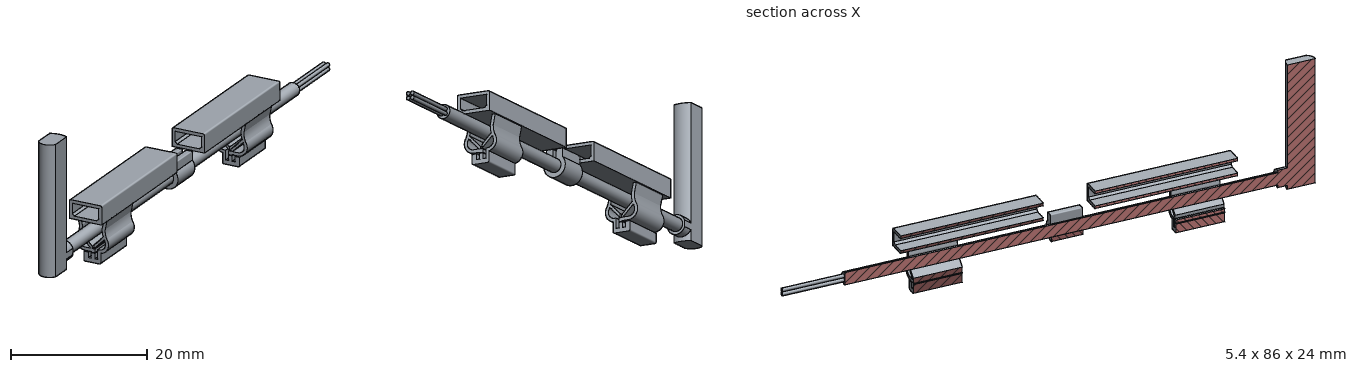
import cadquery as cq
import math


FRONT_Y = -43.0
BACK_END_Y = 43.0
HEAD_WIDTH = 2.8
HEAD_DEPTH = 4.6
HEAD_TOP_Z = 18.8
HEAD_BOTTOM_Z = -2.15
HEAD_NOSE_DEPTH = 0.9
HEAD_BACK_RISE = 0.35
COLLAR_DIAMETER = 3.0
COLLAR_LENGTH = 1.55
CABLE_DIAMETER = 2.15
WIRE_DIAMETER = 0.6
WIRE_PITCH = 0.7
WIRE_LENGTH = 10.0
WIRE_OVERLAP = 0.9

BAND_DIAMETER = 3.6
BAND_LENGTH = 5.2
BAND_CENTER_Y = -2.9
BAND_LUG_TOP_Z = 2.6
BAND_LUGS_WIDTH = 2.75
BAND_GAP = 0.5
BAND_LUG_ROUND = 0.2

CLIP_PLACES = ((12.5, 180), (-18.9, 0))
TUBE_WIDTH = 5.4
TUBE_TOP_Z = 5.1
TUBE_BOTTOM_Z = 2.1
TUBE_LENGTH = 23.05
CORNER_RADIUS = 0.3
BORE_CHAMFER = 0.35
WALL = 0.5
HOLDER_LENGTH = 7.9
HOLDER_INSET = 2.1
LEG_TOP_X = 2.5
NECK_X = 2.15
NECK_Z = 0.4
NECK_SAGITTA = 0.1
BULB_RADIUS = 1.55
BULB_CENTER_X = TUBE_WIDTH / 2 - BULB_RADIUS
BULB_CENTER_Z = -1.9
BULB_START_ANGLE = math.radians(146)
BULB_END_ANGLE = math.radians(270)
ARM_INNER_DISTANCE = 1.8
ARM_THICKNESS = 0.4
ARM_ROOT_X = 2.0
FREE_ARM_END_X = 0.3
FOOT_WIDTH = 2.8
FOOT_BOTTOM_Z = -5.2
FOOT_TOP_Z = -3.6
FOOT_FLOOR = 0.7
FOOT_HOOK_WALL = 0.8
RIB_LEFT_X = -0.2
RIB_WIDTH = 0.6
RIB_RIGHT_X = RIB_LEFT_X + RIB_WIDTH
STUB_LENGTH = 0.1


def section(y_start):
    """Workplane in X and Z at y_start; a negative extrusion length runs toward +Y."""
    return cq.Workplane("XZ", origin=(0, y_start, 0))


def block(x_min, x_max, y_min, y_max, z_min, z_max):
    size = (x_max - x_min, y_max - y_min, z_max - z_min)
    return cq.Workplane("XY").box(*size, centered=False).translate((x_min, y_min, z_min))


def rod(diameter, y_start, y_end, x=0.0, z=0.0):
    return section(y_start).center(x, z).circle(diameter / 2).extrude(y_start - y_end)


def make_sensor():
    half = HEAD_WIDTH / 2
    head_back_y = FRONT_Y + HEAD_DEPTH
    head_middle_y = FRONT_Y + HEAD_DEPTH / 2
    collar_end_y = head_back_y + COLLAR_LENGTH
    cable_end_y = BACK_END_Y - WIRE_LENGTH
    nose_y = FRONT_Y + HEAD_NOSE_DEPTH
    head = (
        cq.Workplane("XY", origin=(0, 0, HEAD_BOTTOM_Z))
        .moveTo(-half, nose_y)
        .threePointArc((0, FRONT_Y), (half, nose_y))
        .lineTo(half, head_back_y - HEAD_BACK_RISE)
        .threePointArc((0, head_back_y), (-half, head_back_y - HEAD_BACK_RISE))
        .close()
        .extrude(HEAD_TOP_Z - HEAD_BOTTOM_Z)
    )
    collar = rod(COLLAR_DIAMETER, head_middle_y, collar_end_y).intersect(
        block(-half, half, head_middle_y, collar_end_y, -COLLAR_DIAMETER, COLLAR_DIAMETER)
    )
    sensor = head.union(collar)
    sensor = sensor.union(rod(CABLE_DIAMETER, head_middle_y, cable_end_y))
    for x in (-WIRE_PITCH / 2, WIRE_PITCH / 2):
        for z in (-WIRE_PITCH / 2, WIRE_PITCH / 2):
            sensor = sensor.union(rod(WIRE_DIAMETER, cable_end_y - WIRE_OVERLAP, BACK_END_Y, x, z))
    return sensor


def make_band():
    y_min = BAND_CENTER_Y - BAND_LENGTH / 2
    y_max = y_min + BAND_LENGTH
    half_lugs = BAND_LUGS_WIDTH / 2
    half_gap = BAND_GAP / 2
    band = rod(BAND_DIAMETER, y_min, y_max)
    band = band.union(block(-half_lugs, half_lugs, y_min, y_max, 0, BAND_LUG_TOP_Z))
    band = band.cut(rod(CABLE_DIAMETER, y_min, y_max))
    band = band.cut(block(-half_gap, half_gap, y_min, y_max, 0, BAND_LUG_TOP_Z))
    return band.faces(">Z").edges("|Y").fillet(BAND_LUG_ROUND)


def bulb_point(radius, angle):
    return (-BULB_CENTER_X + radius * math.cos(angle), BULB_CENTER_Z + radius * math.sin(angle))


def side_wall(y_min, floor_end_x):
    """Leg, neck and bulb on the -X side, with the bulb floor running in to floor_end_x."""
    inner_radius = BULB_RADIUS - WALL
    middle_angle = (BULB_START_ANGLE + BULB_END_ANGLE) / 2
    return (
        section(y_min)
        .moveTo(-LEG_TOP_X, TUBE_BOTTOM_Z)
        .lineTo(-NECK_X, NECK_Z)
        .sagittaArc(bulb_point(BULB_RADIUS, BULB_START_ANGLE), NECK_SAGITTA)
        .threePointArc(bulb_point(BULB_RADIUS, middle_angle), bulb_point(BULB_RADIUS, BULB_END_ANGLE))
        .lineTo(floor_end_x, BULB_CENTER_Z - BULB_RADIUS)
        .lineTo(floor_end_x, BULB_CENTER_Z - inner_radius)
        .lineTo(*bulb_point(inner_radius, BULB_END_ANGLE))
        .threePointArc(bulb_point(inner_radius, middle_angle), bulb_point(inner_radius, BULB_START_ANGLE))
        .sagittaArc((-NECK_X + WALL, NECK_Z), -NECK_SAGITTA)
        .lineTo(-LEG_TOP_X + WALL, TUBE_BOTTOM_Z)
        .close()
        .extrude(-HOLDER_LENGTH)
    )


def arm(y_min, end_x):
    """Arm on the -X side that slopes at 45 degrees below the cable, from the neck to end_x."""
    top = ARM_INNER_DISTANCE * math.sqrt(2)
    bottom = (ARM_INNER_DISTANCE + ARM_THICKNESS) * math.sqrt(2)
    return (
        section(y_min)
        .moveTo(-ARM_ROOT_X, ARM_ROOT_X - top)
        .lineTo(-end_x, end_x - top)
        .lineTo(-end_x, end_x - bottom)
        .lineTo(-ARM_ROOT_X, ARM_ROOT_X - bottom)
        .close()
        .extrude(-HOLDER_LENGTH)
    )


def make_clip():
    """Clip centred on Y = 0 with its holder near the -Y end of the tube."""
    half = TUBE_WIDTH / 2
    half_length = TUBE_LENGTH / 2
    tube = block(-half, half, -half_length, half_length, TUBE_BOTTOM_Z, TUBE_TOP_Z)
    tube = tube.edges("|Y and >Z").fillet(CORNER_RADIUS)
    bore = block(-half + WALL, half - WALL, -half_length, half_length,
                 TUBE_BOTTOM_Z + WALL, TUBE_TOP_Z - WALL)
    tube = tube.cut(bore.edges("|Y and <Z").chamfer(BORE_CHAMFER))

    y_min = -half_length + HOLDER_INSET
    y_max = y_min + HOLDER_LENGTH
    half_foot = FOOT_WIDTH / 2
    bulb_bottom_z = BULB_CENTER_Z - BULB_RADIUS
    floor_z = FOOT_BOTTOM_Z + FOOT_FLOOR
    foot_floor = block(-half_foot, half_foot, y_min, y_max, FOOT_BOTTOM_Z, floor_z)
    foot_floor = foot_floor.edges("|Y and <Z").fillet(CORNER_RADIUS)
    parts = [
        side_wall(y_min, RIB_RIGHT_X),
        arm(y_min, 0),
        block(RIB_LEFT_X, RIB_RIGHT_X, y_min, y_max, bulb_bottom_z - STUB_LENGTH, bulb_bottom_z + WALL),
        side_wall(y_min, -half_foot + WALL).mirror("YZ"),
        arm(y_min, FREE_ARM_END_X).mirror("YZ"),
        foot_floor,
        block(half_foot - WALL, half_foot, y_min, y_max, floor_z, bulb_bottom_z + WALL),
        block(-half_foot, -half_foot + FOOT_HOOK_WALL, y_min, y_max, floor_z, FOOT_TOP_Z),
        block(RIB_LEFT_X, RIB_RIGHT_X, y_min, y_max, floor_z, FOOT_TOP_Z),
    ]
    clip = tube
    for part in parts:
        clip = clip.union(part)
    return clip


sensor = make_sensor()
band = make_band()
clips = [
    make_clip().rotate((0, 0, 0), (0, 0, 1), turn).translate((0, center_y, 0))
    for center_y, turn in CLIP_PLACES
]

result = cq.Compound.makeCompound([sensor.val(), band.val(), *[clip.val() for clip in clips]])